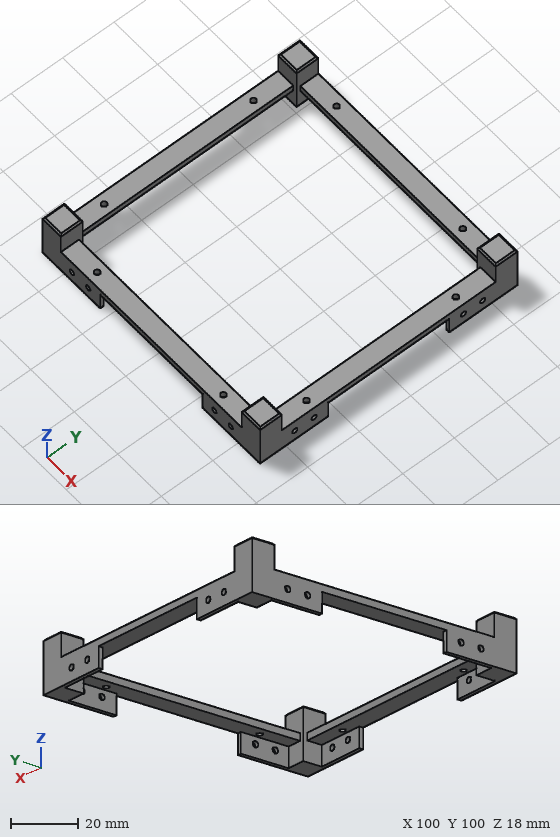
import cadquery as cq

frame_side = 100.0
frame_height = 18.0

rail_width = 7.0
rail_bottom = 7.0
rail_thickness = 2.5
rail_top = rail_bottom + rail_thickness

post_side = 8.5
post_chamfer = 0.6

tab_reach = 26.5
tab_thickness = 1.5

hole_diameter = 2.0
tab_hole_places = (13.5, 21.0)
tab_hole_height = 4.5
rail_hole_place = 21.0
rail_hole_inset = rail_width / 2

half_side = frame_side / 2
corner_angles = (0, 90, 180, 270)


def corner_box(length, width, height):
    """Block with one corner on the frame's outer corner at the bottom plane."""
    block = cq.Workplane("XY").box(length, width, height, centered=False)
    return block.translate((-half_side, -half_side, 0))


def make_rails():
    """Square ring of four flat rails."""
    opening_side = frame_side - 2 * rail_width
    return (
        cq.Workplane("XY", origin=(0, 0, rail_bottom))
        .rect(frame_side, frame_side)
        .rect(opening_side, opening_side)
        .extrude(rail_thickness)
    )


def make_corner():
    """Chamfered post with a tab along each of its two outer faces."""
    post = corner_box(post_side, post_side, frame_height).faces(">Z").chamfer(post_chamfer)
    tab_along_x = corner_box(tab_reach, tab_thickness, rail_top)
    tab_along_y = corner_box(tab_thickness, tab_reach, rail_top)
    return post.union(tab_along_x).union(tab_along_y)


def hole_cutter(start, direction, depth):
    """Cylinder that drills one screw hole."""
    return cq.Solid.makeCylinder(hole_diameter / 2, depth, cq.Vector(*start), cq.Vector(*direction))


def make_corner_holes():
    """Cutters for the tab and rail holes around one corner."""
    cutters = []
    for place in tab_hole_places:
        along = place - half_side
        start = (-half_side, along, tab_hole_height)
        cutters.append(hole_cutter(start, (1, 0, 0), tab_thickness))
        start = (along, -half_side, tab_hole_height)
        cutters.append(hole_cutter(start, (0, 1, 0), tab_thickness))
    along = rail_hole_place - half_side
    across = rail_hole_inset - half_side
    for x, y in ((along, across), (across, along)):
        cutters.append(hole_cutter((x, y, rail_bottom), (0, 0, 1), rail_thickness))
    return cq.Workplane("XY").newObject([cq.Compound.makeCompound(cutters)])


def turned(shape, angle):
    """Shape turned about the vertical axis through the middle of the frame."""
    return shape.rotate((0, 0, 0), (0, 0, 1), angle)


corner = make_corner()
corner_holes = make_corner_holes()

result = make_rails()
for angle in corner_angles:
    result = result.union(turned(corner, angle))
for angle in corner_angles:
    result = result.cut(turned(corner_holes, angle))